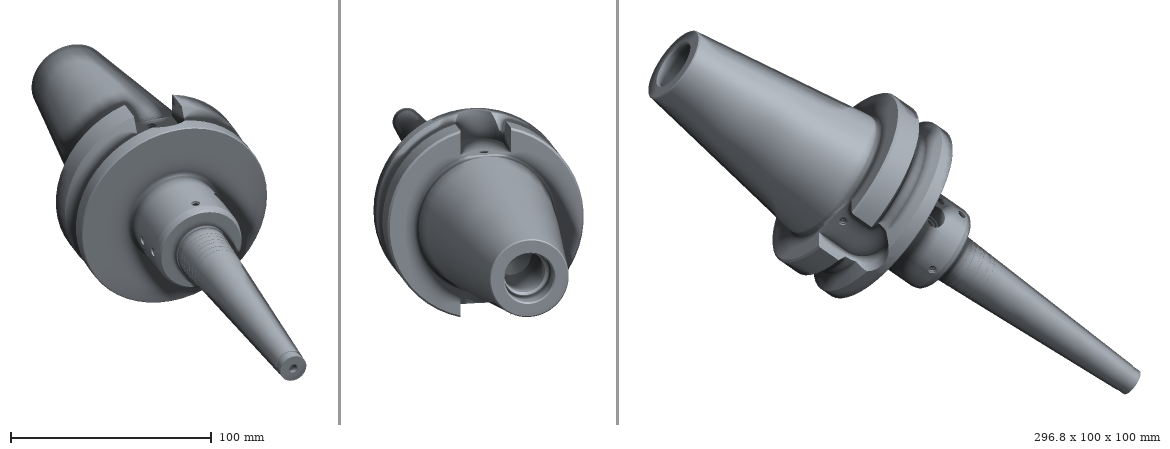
import cadquery as cq
import math


gauge_radius = 69.85 / 2
taper_length = 101.8
taper_ratio = 7 / 48
shank_end_x = -taper_length
shank_end_radius = gauge_radius - taper_length * taper_ratio
shank_end_chamfer = 0.5

neck_radius = 34.8
neck_fillet = 1.5

flange_start_x = 3.0
flange_end_x = 38.0
flange_radius = 50.0
flange_chamfer = 1.0
flange_front_chamfer = 0.5
vee_centre_x = 23.25
vee_floor_width = 6.0
vee_floor_radius = 42.5
vee_half_angle = 30
vee_half_floor = vee_floor_width / 2
vee_half_mouth = vee_half_floor + (flange_radius - vee_floor_radius) * math.tan(math.radians(vee_half_angle))

keyway_width = 25.7
keyway_floor = 35.3
keyway_end_x = 33.7

nose_end_x = 73.0
nose_radius = 23.0
nose_root_fillet = 2.0
nose_cone_start_x = 69.5
nose_cone_end_x = 72.0
nose_cone_end_radius = 22.3
nose_chamfer = 1.0

tip_x = 195.0
tip_radius = 7.0
tip_length = 5.0
stem_half_angle = 3
collar_radius = 13.8
collar_length = 2.0
stem_end_x = tip_x - tip_length

ring_spans_x = ((79.7, 80.9), (82.1, 83.7), (85.5, 87.3), (88.2, 89.1), (91.8, 93.5), (95.2, 96.5))
ring_depth = 0.15

pilot_radius = 12.5
pilot_chamfer = 0.75
pilot_depth = 11.0
thread_lead_in = 1.2
thread_radius = 10.5
thread_depth = 45.0
bore_tip_half_angle = 59
through_hole_diameter = 4.5

hex_corner_ratio = 2 / math.sqrt(3)
balance_x = 66.0
keyway_screw_x = 8.2
small_mouth_diameter = 4.5
small_mouth_depth = 0.8
small_screw_diameter = 3.4
small_screw_depth = 2.0
small_hex_across_flats = 2.0
small_hex_depth = 1.5

clamp_x = 52.0
clamp_offset = 11.5
clamp_mouth_diameter = 10.0
clamp_mouth_floor = 15.5
clamp_screw_diameter = 7.4
clamp_screw_floor = 14.5
clamp_hex_across_flats = 4.0
clamp_hex_depth = 3.0

side_hole_z = -1.4
side_mouth_diameter = 4.5
side_mouth_depth = 2.0
side_hole_diameter = 3.4
side_hole_depth = 6.0
side_hex_across_flats = 2.0
side_hex_depth = 1.5

cut_margin = 1.0


def stem_radius(x):
    return tip_radius + (tip_x - x) * math.tan(math.radians(stem_half_angle))


def revolve_about_x(profile):
    return profile.close().revolve(360, (0, 0, 0), (1, 0, 0))


def body():
    shank_chamfer_end_x = shank_end_x + shank_end_chamfer
    stem_start_x = nose_end_x + collar_length
    profile = (
        cq.Workplane("XY")
        .moveTo(shank_end_x, 0)
        .lineTo(shank_end_x, shank_end_radius - shank_end_chamfer)
        .lineTo(shank_chamfer_end_x, shank_end_radius + shank_end_chamfer * taper_ratio)
        .lineTo(0, gauge_radius)
        .lineTo(0, neck_radius)
        .lineTo(flange_start_x - neck_fillet, neck_radius)
        .radiusArc((flange_start_x, neck_radius + neck_fillet), -neck_fillet)
        .lineTo(flange_start_x, flange_radius - flange_chamfer)
        .lineTo(flange_start_x + flange_chamfer, flange_radius)
        .lineTo(vee_centre_x - vee_half_mouth, flange_radius)
        .lineTo(vee_centre_x - vee_half_floor, vee_floor_radius)
        .lineTo(vee_centre_x + vee_half_floor, vee_floor_radius)
        .lineTo(vee_centre_x + vee_half_mouth, flange_radius)
        .lineTo(flange_end_x - flange_front_chamfer, flange_radius)
        .lineTo(flange_end_x, flange_radius - flange_front_chamfer)
        .lineTo(flange_end_x, nose_radius + nose_root_fillet)
        .radiusArc((flange_end_x + nose_root_fillet, nose_radius), -nose_root_fillet)
        .lineTo(nose_cone_start_x, nose_radius)
        .lineTo(nose_cone_end_x, nose_cone_end_radius)
        .lineTo(nose_end_x, nose_cone_end_radius - nose_chamfer)
        .lineTo(nose_end_x, collar_radius)
        .lineTo(stem_start_x, collar_radius)
        .lineTo(stem_start_x, stem_radius(stem_start_x))
        .lineTo(stem_end_x, stem_radius(stem_end_x))
        .lineTo(stem_end_x, tip_radius)
        .lineTo(tip_x, tip_radius)
        .lineTo(tip_x, 0)
    )
    return revolve_about_x(profile)


def stem_ring(start_x, end_x):
    outer = stem_radius(start_x) + cut_margin
    profile = (
        cq.Workplane("XY")
        .moveTo(start_x, outer)
        .lineTo(start_x, stem_radius(start_x) - ring_depth)
        .lineTo(end_x, stem_radius(end_x) - ring_depth)
        .lineTo(end_x, outer)
    )
    return revolve_about_x(profile)


def draw_bar_bore():
    hole_radius = through_hole_diameter / 2
    thread_end_x = shank_end_x + thread_depth
    cone_length = (thread_radius - hole_radius) / math.tan(math.radians(bore_tip_half_angle))
    profile = (
        cq.Workplane("XY")
        .moveTo(shank_end_x, 0)
        .lineTo(shank_end_x, pilot_radius + pilot_chamfer)
        .lineTo(shank_end_x + pilot_chamfer, pilot_radius)
        .lineTo(shank_end_x + pilot_depth, pilot_radius)
        .lineTo(shank_end_x + pilot_depth, thread_radius + thread_lead_in)
        .lineTo(shank_end_x + pilot_depth + thread_lead_in, thread_radius)
        .lineTo(thread_end_x, thread_radius)
        .lineTo(thread_end_x + cone_length, hole_radius)
        .lineTo(tip_x, hole_radius)
        .lineTo(tip_x, 0)
    )
    return revolve_about_x(profile)


def keyway():
    straight_end_x = keyway_end_x - keyway_width / 2
    half_width = keyway_width / 2
    return (
        cq.Workplane("XY", origin=(0, 0, keyway_floor))
        .moveTo(-cut_margin, -half_width)
        .lineTo(straight_end_x, -half_width)
        .threePointArc((keyway_end_x, 0), (straight_end_x, half_width))
        .lineTo(-cut_margin, half_width)
        .close()
        .extrude(flange_radius)
    )


def around_x(shape, angle):
    return shape.rotate((0, 0, 0), (1, 0, 0), angle)


def stepped_hole(x, y, top, mouth_diameter, mouth_floor, inner_diameter, inner_floor):
    """Two-step blind hole that opens towards +Z."""
    mouth = cq.Workplane("XY", origin=(x, y, mouth_floor)).circle(mouth_diameter / 2)
    inner = cq.Workplane("XY", origin=(x, y, inner_floor)).circle(inner_diameter / 2)
    return mouth.extrude(top - mouth_floor + cut_margin).union(inner.extrude(top - inner_floor))


def hex_socket(x, y, mouth_z, across_flats, depth):
    return (
        cq.Workplane("XY", origin=(x, y, mouth_z))
        .polygon(6, across_flats * hex_corner_ratio)
        .extrude(-depth)
    )


def small_screw(x, surface_radius):
    screw_floor = surface_radius - small_screw_depth
    hole = stepped_hole(
        x,
        0,
        surface_radius,
        small_mouth_diameter,
        surface_radius - small_mouth_depth,
        small_screw_diameter,
        screw_floor,
    )
    return hole.union(hex_socket(x, 0, screw_floor, small_hex_across_flats, small_hex_depth))


def clamp_screw():
    hole = stepped_hole(
        clamp_x,
        -clamp_offset,
        nose_radius,
        clamp_mouth_diameter,
        clamp_mouth_floor,
        clamp_screw_diameter,
        clamp_screw_floor,
    )
    socket = hex_socket(clamp_x, -clamp_offset, clamp_screw_floor, clamp_hex_across_flats, clamp_hex_depth)
    return hole.union(socket)


def side_hole():
    side_hole_floor = nose_radius - side_hole_depth
    hole = stepped_hole(
        clamp_x,
        side_hole_z,
        nose_radius,
        side_mouth_diameter,
        nose_radius - side_mouth_depth,
        side_hole_diameter,
        side_hole_floor,
    )
    socket = hex_socket(clamp_x, side_hole_z, side_hole_floor, side_hex_across_flats, side_hex_depth)
    return hole.union(socket)


result = body().cut(draw_bar_bore())
for start_x, end_x in ring_spans_x:
    result = result.cut(stem_ring(start_x, end_x))
for angle in (0, 180):
    result = result.cut(around_x(keyway(), angle))
    result = result.cut(around_x(small_screw(keyway_screw_x, keyway_floor), angle))
for angle in (0, 90, 180, 270):
    result = result.cut(around_x(small_screw(balance_x, nose_radius), angle))

for angle in (90, 270):
    result = result.cut(around_x(clamp_screw(), angle))
result = result.cut(around_x(side_hole(), 90))